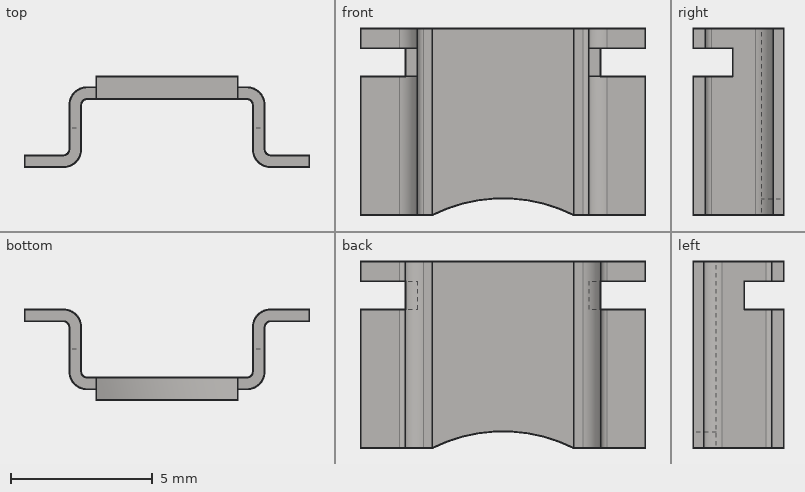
import cadquery as cq

total_width = 10.06
total_depth = 3.21
height = 6.6

plate_width = 5.0
plate_thickness = 0.8
arch_rise = 0.59

sheet_thickness = 0.42
inner_bend_radius = 0.21
wall_inset = 1.58

slot_top_gap = 0.7
slot_height = 1.0
slot_depth = 1.4

half_width = total_width / 2
plate_half_width = plate_width / 2
plate_front = total_depth - plate_thickness
flange_back = plate_front + sheet_thickness
wall_outer_x = half_width - wall_inset
wall_inner_x = wall_outer_x - sheet_thickness
outer_bend_radius = inner_bend_radius + sheet_thickness
slot_bottom = height - slot_top_gap - slot_height


def make_plate():
    """Flat plate whose bottom edge is a shallow arch between its corners."""
    return (
        cq.Workplane("XZ", origin=(0, total_depth, 0))
        .moveTo(-plate_half_width, 0)
        .threePointArc((0, arch_rise), (plate_half_width, 0))
        .lineTo(plate_half_width, height)
        .lineTo(-plate_half_width, height)
        .close()
        .extrude(plate_thickness)
    )


def make_right_bracket():
    """Z-bent sheet: flange against the plate, wall towards the front, foot outwards."""
    sheet = (
        cq.Workplane("XY")
        .moveTo(plate_half_width, plate_front)
        .lineTo(wall_inner_x - inner_bend_radius, plate_front)
        .radiusArc((wall_inner_x, plate_front - inner_bend_radius), inner_bend_radius)
        .lineTo(wall_inner_x, outer_bend_radius)
        .radiusArc((wall_inner_x + outer_bend_radius, 0), -outer_bend_radius)
        .lineTo(half_width, 0)
        .lineTo(half_width, sheet_thickness)
        .lineTo(wall_outer_x + inner_bend_radius, sheet_thickness)
        .radiusArc((wall_outer_x, sheet_thickness + inner_bend_radius), inner_bend_radius)
        .lineTo(wall_outer_x, flange_back - outer_bend_radius)
        .radiusArc((wall_outer_x - outer_bend_radius, flange_back), -outer_bend_radius)
        .lineTo(plate_half_width, flange_back)
        .close()
        .extrude(height)
    )
    slot = (
        cq.Workplane("XY", origin=(wall_inner_x, 0, slot_bottom))
        .rect(half_width - wall_inner_x, slot_depth, centered=False)
        .extrude(slot_height)
    )
    return sheet.cut(slot)


def make_brackets():
    """The right bracket and its mirror image on the left."""
    right = make_right_bracket()
    return [right.val(), right.mirror("YZ").val()]


plate = make_plate()
brackets = make_brackets()

result = cq.Compound.makeCompound([plate.val(), *brackets])